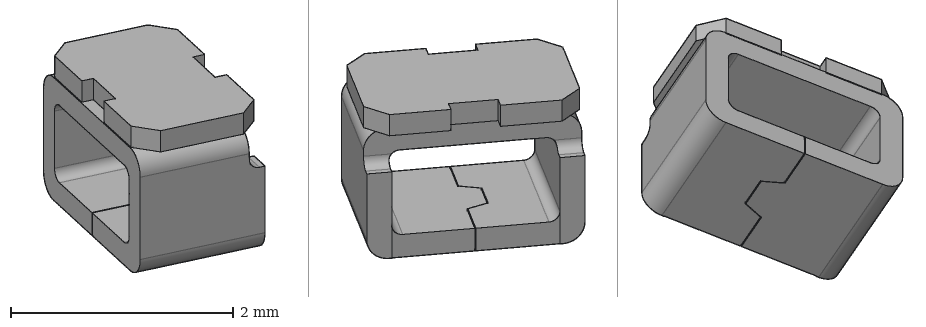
import cadquery as cq

length = 2.0
width = 1.25
height = 1.45

wall = 0.23
band_height = 1.235
outer_radius = 0.205
inner_radius = 0.1

relief_depth = 0.158
relief_floor = 0.875
relief_radius = 0.1

gap = 0.01
tongue_length = 0.2
tongue_root_width = 0.46
tongue_tip_width = 0.3
floor_setback = 0.005

plate_inset = 0.01
plate_chamfer = 0.2
notch_width = 0.455
notch_depth = 0.115


def block(x_size, y_size, z_bottom, z_top):
    """Box centred in X and Y between two heights."""
    return (
        cq.Workplane("XY")
        .box(x_size, y_size, z_top - z_bottom, centered=(True, True, False))
        .translate((0, 0, z_bottom))
    )


def make_band():
    outer = block(length, width, 0, band_height).edges("|Y").fillet(outer_radius)
    opening = block(length - 2 * wall, width, wall, band_height - wall).edges("|Y").fillet(inner_radius)
    return outer.cut(opening)


def make_relief():
    """Cutter for the top rear edge, with a rounded inner bottom corner."""
    return (
        block(length, 2 * relief_depth, relief_floor, height)
        .translate((0, width / 2, 0))
        .edges("|X and <Z")
        .fillet(relief_radius)
    )


def make_joint():
    """Thin zigzag cutter through the floor, whose left side starts and ends at X = 0."""
    front_path = [
        (0, -width / 2),
        (0, -tongue_root_width / 2),
        (-tongue_length, -tongue_tip_width / 2),
    ]
    rear_path = [(x, -y) for x, y in reversed(front_path)]
    left_side = front_path + rear_path
    right_side = [(x + gap, y) for x, y in reversed(left_side)]
    return cq.Workplane("XY").polyline(left_side + right_side).close().extrude(wall)


def make_floor_setback():
    """Cutter that sets the rear face of the floor slightly forward of the side walls."""
    return block(length - 2 * wall, 2 * floor_setback, 0, band_height).translate((0, width / 2, 0))


def make_plate():
    plate_length = length - 2 * plate_inset
    plate_width = width - 2 * plate_inset
    plate = block(plate_length, plate_width, band_height, height).edges("|Z").chamfer(plate_chamfer)
    notch = block(notch_width, 2 * notch_depth, band_height, height)
    for side in (-1, 1):
        plate = plate.cut(notch.translate((0, side * plate_width / 2, 0)))
    return plate


band = make_band().cut(make_relief()).cut(make_joint()).cut(make_floor_setback())
result = band.union(make_plate())